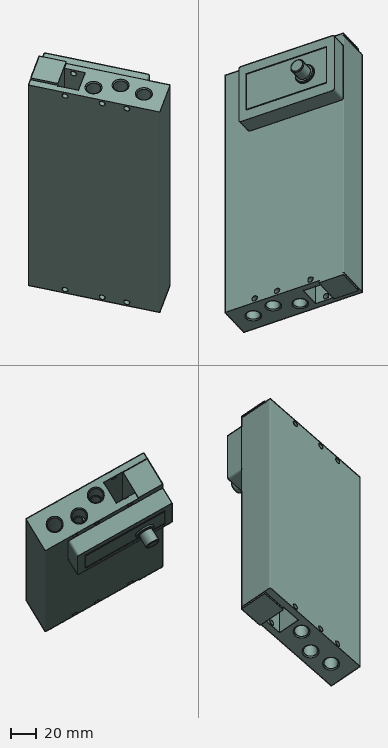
import cadquery as cq

TOTAL_LENGTH = 235.0
LIP_HEIGHT = 2.0
BODY_WIDTH = 106.7
BODY_DEPTH = 30.0
BODY_EDGE_ROUND = 0.5
BODY_BOTTOM = LIP_HEIGHT
BODY_TOP = TOTAL_LENGTH - LIP_HEIGHT
BODY_LENGTH = BODY_TOP - BODY_BOTTOM

LIP_RIGHT_X = 22.3
LIP_FRONT_Y = 5.9
LIP_INSET = 0.2
LIP_EDGE_ROUND = 0.5

CHANNEL_WIDTH = 17.0
CHANNEL_FRONT_Y = 5.2
CHANNEL_BACK_Y = 24.7

PORT_RADIUS = 5.6
PORT_CHAMFER = 1.0
PORT_DEPTH = 20.0
NARROW_BORE_RADIUS = 4.7
LEFT_PORT = (49.8, 11.0)
MIDDLE_PORT = (69.5, 19.0)
RIGHT_PORT = (89.5, 15.3)

BORE_FLAT_LEFT = 4.0
BORE_FLAT_RIGHT = 3.0

CROSS_HOLE_RADIUS = 2.4
CROSS_HOLE_X = (29.8, 60.0, 80.0)
CROSS_HOLE_INSET = 4.0

HOUSING_WIDTH = 86.0
HOUSING_HEIGHT = 53.5
HOUSING_THICKNESS = 14.3
HOUSING_TOP = 224.0
HOUSING_EDGE_ROUND = 2.0
HOUSING_BOTTOM = HOUSING_TOP - HOUSING_HEIGHT
HOUSING_BACK_Y = BODY_DEPTH + HOUSING_THICKNESS
PLATE_WIDTH = 72.0
PLATE_HEIGHT = 34.8
PLATE_THICKNESS = 0.7

TOTAL_DEPTH = 58.5
CONNECTOR_X = 25.8
CONNECTOR_Z = 194.3
FLANGE_RADIUS = 8.2
FLANGE_HEIGHT = 2.8
FLANGE_CHAMFER = 0.7
SLEEVE_RADIUS = 5.9
SLEEVE_CHAMFER = 0.7


def block(x_range, y_range, z_range):
    """A box between the given lower and upper limits."""
    size = [upper - lower for lower, upper in (x_range, y_range, z_range)]
    corner = (x_range[0], y_range[0], z_range[0])
    return cq.Workplane("XY").box(*size, centered=False).translate(corner)


def rod_along_y(x, z, y_range, radius):
    start, end = y_range
    plane = cq.Plane(origin=(x, start, z), xDir=(1, 0, 0), normal=(0, 1, 0))
    return cq.Workplane(plane).circle(radius).extrude(end - start)


def rod_along_z(center, z_range, radius):
    start, end = z_range
    return cq.Workplane("XY", origin=(*center, start)).circle(radius).extrude(end - start)


def countersink(center, end_z, inward):
    """A cone widening to the end face; inward is +1 or -1 along Z."""
    plane = cq.Plane(origin=(*center, end_z), xDir=(1, 0, 0), normal=(0, 0, inward))
    return cq.Workplane(plane).circle(PORT_RADIUS + PORT_CHAMFER).extrude(PORT_CHAMFER, taper=45)


def port(center, bore):
    """Both port openings of one bore, together with the bore itself."""
    lower = rod_along_z(center, (BODY_BOTTOM, BODY_BOTTOM + PORT_DEPTH), PORT_RADIUS)
    upper = rod_along_z(center, (BODY_TOP - PORT_DEPTH, BODY_TOP), PORT_RADIUS)
    cutter = bore.union(lower).union(upper)
    cutter = cutter.union(countersink(center, BODY_BOTTOM, 1))
    return cutter.union(countersink(center, BODY_TOP, -1))


def make_ports():
    body_range = (BODY_BOTTOM, BODY_TOP)
    left_bore = rod_along_z(LEFT_PORT, body_range, NARROW_BORE_RADIUS)
    right_bore = rod_along_z(RIGHT_PORT, body_range, PORT_RADIUS)

    middle_x = MIDDLE_PORT[0]
    between_flats = block(
        (middle_x - BORE_FLAT_LEFT, middle_x + BORE_FLAT_RIGHT), (0, BODY_DEPTH), body_range
    )
    middle_bore = rod_along_z(MIDDLE_PORT, body_range, NARROW_BORE_RADIUS).intersect(between_flats)

    cutters = port(LEFT_PORT, left_bore)
    cutters = cutters.union(port(MIDDLE_PORT, middle_bore))
    return cutters.union(port(RIGHT_PORT, right_bore))


def make_cross_holes():
    holes = cq.Workplane("XY")
    for x in CROSS_HOLE_X:
        for z in (BODY_BOTTOM + CROSS_HOLE_INSET, BODY_TOP - CROSS_HOLE_INSET):
            holes = holes.add(rod_along_y(x, z, (0, BODY_DEPTH), CROSS_HOLE_RADIUS))
    return holes.combine()


def make_body():
    body = block((0, BODY_WIDTH), (0, BODY_DEPTH), (BODY_BOTTOM, BODY_TOP))
    body = body.edges("|Z").fillet(BODY_EDGE_ROUND)

    lips = block((LIP_INSET, LIP_RIGHT_X), (LIP_FRONT_Y, BODY_DEPTH), (0, TOTAL_LENGTH))
    lips = lips.edges("|Z").fillet(LIP_EDGE_ROUND)

    channel = block(
        (LIP_RIGHT_X, LIP_RIGHT_X + CHANNEL_WIDTH),
        (CHANNEL_FRONT_Y, CHANNEL_BACK_Y),
        (BODY_BOTTOM, BODY_TOP),
    )
    return body.union(lips).cut(channel).cut(make_ports()).cut(make_cross_holes())


def make_housing():
    housing = block(
        (0, HOUSING_WIDTH), (BODY_DEPTH, HOUSING_BACK_Y), (HOUSING_BOTTOM, HOUSING_TOP)
    )
    housing = housing.edges("|Y").fillet(HOUSING_EDGE_ROUND)

    side_margin = (HOUSING_WIDTH - PLATE_WIDTH) / 2
    end_margin = (HOUSING_HEIGHT - PLATE_HEIGHT) / 2
    plate = block(
        (side_margin, HOUSING_WIDTH - side_margin),
        (HOUSING_BACK_Y, HOUSING_BACK_Y + PLATE_THICKNESS),
        (HOUSING_BOTTOM + end_margin, HOUSING_TOP - end_margin),
    )
    return housing.union(plate)


def make_connector():
    flange_range = (HOUSING_BACK_Y, HOUSING_BACK_Y + FLANGE_HEIGHT)
    flange = rod_along_y(CONNECTOR_X, CONNECTOR_Z, flange_range, FLANGE_RADIUS)
    flange = flange.faces(">Y").chamfer(FLANGE_CHAMFER)

    sleeve = rod_along_y(CONNECTOR_X, CONNECTOR_Z, (HOUSING_BACK_Y, TOTAL_DEPTH), SLEEVE_RADIUS)
    sleeve = sleeve.faces(">Y").chamfer(SLEEVE_CHAMFER)
    return flange.union(sleeve)


result = make_body().union(make_housing()).union(make_connector())